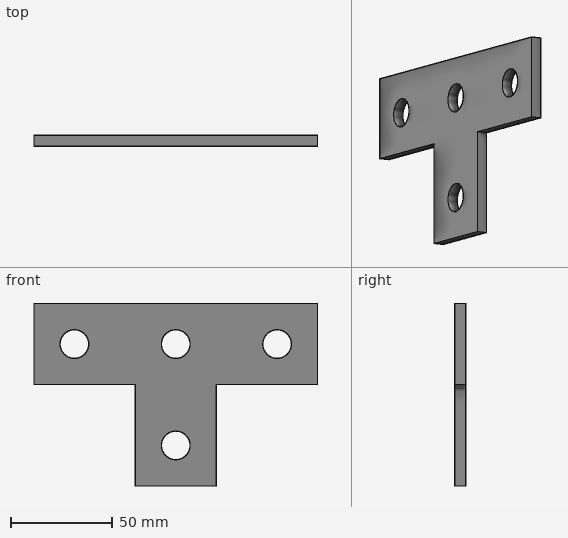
import cadquery as cq

arm_width = 40.0
hole_pitch = 50.0
hole_diameter = 14.0
thickness = 5.5

bar_length = 2 * hole_pitch + arm_width
stem_length = hole_pitch + arm_width

crossbar = (
    cq.Workplane("XZ")
    .rect(bar_length, arm_width)
    .extrude(thickness)
)
stem = (
    cq.Workplane("XZ")
    .center(0, -hole_pitch / 2)
    .rect(arm_width, stem_length)
    .extrude(thickness)
)
plate = crossbar.union(stem)

hole_centers = [(0, 0), (-hole_pitch, 0), (hole_pitch, 0), (0, -hole_pitch)]
holes = (
    cq.Workplane("XZ")
    .pushPoints(hole_centers)
    .circle(hole_diameter / 2)
    .extrude(thickness)
)

result = plate.cut(holes)